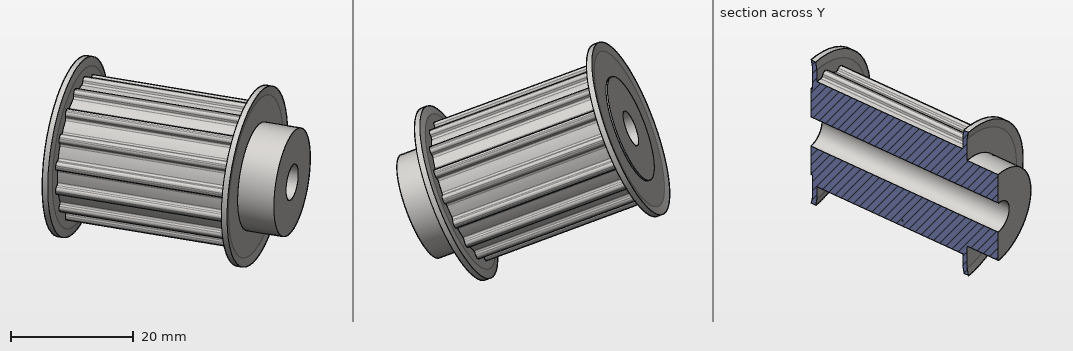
import cadquery as cq
import math


total_length = 38.0
hub_length = 6.0
flange_thickness = 1.0
dish_depth = 0.25
flanged_length = total_length - hub_length
web_inner_face = flange_thickness + dish_depth

flange_radius = 30.0 / 2
web_radius = 13.5
hub_radius = 9.0
bore_radius = 3.0
tip_radius = 12.1
root_radius = 11.02

tooth_count = 16
groove_floor_half_width = 1.3
groove_flank_angle = 25.0
root_fillet = 0.4
tip_fillet = 0.6


def make_cylinder(radius, start, end):
    return cq.Workplane("YZ").workplane(offset=start).circle(radius).extrude(end - start)


def make_groove_cutter(start, end):
    """Wedge with a floor on the root circle, centred on +Z and open beyond the tip circle."""
    floor_edge = math.sqrt(root_radius**2 - groove_floor_half_width**2)
    top = tip_radius + tip_fillet
    flank_run = (top - floor_edge) * math.tan(math.radians(groove_flank_angle))
    top_half_width = groove_floor_half_width + flank_run
    return (
        cq.Workplane("YZ")
        .workplane(offset=start)
        .moveTo(-top_half_width, top)
        .lineTo(-groove_floor_half_width, floor_edge)
        .threePointArc((0, root_radius), (groove_floor_half_width, floor_edge))
        .lineTo(top_half_width, top)
        .close()
        .extrude(end - start)
    )


def fillet_lengthwise_edges(body, edge_circle_radius, fillet_radius):
    """Round the edges that run along X at the given distance from the axis."""
    tolerance = 0.005

    def lies_on_circle(edge):
        center = edge.Center()
        return abs(math.hypot(center.y, center.z) - edge_circle_radius) < tolerance

    edges = [edge for edge in body.edges("|X").vals() if lies_on_circle(edge)]
    return body.newObject(edges).fillet(fillet_radius)


def make_toothed_drum(start, end):
    drum = make_cylinder(tip_radius, start, end)
    cutter = make_groove_cutter(start, end)
    pitch_angle = 360.0 / tooth_count
    for i in range(tooth_count):
        drum = drum.cut(cutter.rotate((0, 0, 0), (1, 0, 0), i * pitch_angle))
    drum = fillet_lengthwise_edges(drum, root_radius, root_fillet)
    return fillet_lengthwise_edges(drum, tip_radius, tip_fillet)


def make_flange():
    """Dished disc with its rim face at X = 0 and its web offset toward +X."""
    return (
        cq.Workplane("XY")
        .moveTo(dish_depth, 0)
        .lineTo(dish_depth, web_radius)
        .lineTo(0, flange_radius)
        .lineTo(flange_thickness, flange_radius)
        .lineTo(web_inner_face, web_radius)
        .lineTo(web_inner_face, 0)
        .close()
        .revolve(360, (0, 0, 0), (1, 0, 0))
    )


drum = make_toothed_drum(web_inner_face, flanged_length - web_inner_face)
front_flange = make_flange()
hub_side_flange = make_flange().mirror("YZ").translate((flanged_length, 0, 0))

core = make_cylinder(hub_radius, 0, total_length)
bore = make_cylinder(bore_radius, 0, total_length)

result = drum.union(core).union(front_flange).union(hub_side_flange).cut(bore)